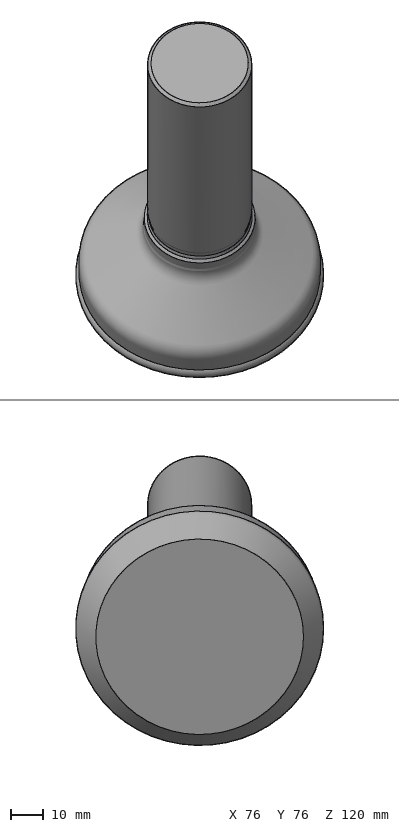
import cadquery as cq
import math

total_height = 120.0
shaft_bottom = 42.0
neck_top = 41.0
neck_bottom = 39.8
collar_bevel_top = 38.8
collar_top = 38.0
collar_bottom = 34.7
dome_top = 33.8
rim_bottom = 9.6
lip_z = 7.5
lip_bottom = 6.4

shaft_radius = 31.9 / 2
neck_radius = 31.3 / 2
collar_bevel_radius = 16.1
collar_radius = 34.0 / 2
dome_top_radius = 34.5 / 2
rim_radius = 74.0 / 2
lip_radius = 76.0 / 2
lip_bottom_radius = 37.6
pad_bottom_radius = 31.8

shaft_chamfer_width = 1.1
shaft_chamfer_height = 0.7
dome_blend_radius = 5.0
dome_slope = math.radians(34.2)


def blend_offset(angle):
    """Distance from a vertical wall, and along it, on a blend arc that has turned by the angle."""
    return dome_blend_radius * (1 - math.cos(angle)), dome_blend_radius * math.sin(angle)


def make_foot():
    """Shaft, grooved neck, collar and domed base, turned as one profile."""
    full_turn = math.pi / 2 - dome_slope
    full_out, full_along = blend_offset(full_turn)
    half_out, half_along = blend_offset(full_turn / 2)

    cone_top_radius = dome_top_radius + full_out
    cone_bottom_radius = rim_radius - full_out
    cone_top = dome_top - full_along
    cone_bottom = cone_top - (cone_bottom_radius - cone_top_radius) * math.tan(dome_slope)
    rim_top = cone_bottom - full_along

    profile = (
        cq.Workplane("XZ")
        .moveTo(0, total_height)
        .lineTo(shaft_radius - shaft_chamfer_width, total_height)
        .lineTo(shaft_radius, total_height - shaft_chamfer_height)
        .lineTo(shaft_radius, shaft_bottom)
        .lineTo(neck_radius, neck_top)
        .lineTo(neck_radius, neck_bottom)
        .lineTo(collar_bevel_radius, collar_bevel_top)
        .lineTo(collar_radius, collar_top)
        .lineTo(collar_radius, collar_bottom)
        .lineTo(dome_top_radius, dome_top)
        .threePointArc((dome_top_radius + half_out, dome_top - half_along), (cone_top_radius, cone_top))
        .lineTo(cone_bottom_radius, cone_bottom)
        .threePointArc((rim_radius - half_out, rim_top + half_along), (rim_radius, rim_top))
        .lineTo(rim_radius, rim_bottom)
        .lineTo(0, rim_bottom)
        .close()
    )
    return profile.revolve(360, (0, 0), (0, 1))


def make_pad():
    """Floor pad under the base: a rounded lip above an inward-tapering cone."""
    profile = (
        cq.Workplane("XZ")
        .moveTo(0, rim_bottom)
        .lineTo(rim_radius, rim_bottom)
        .threePointArc((lip_radius, lip_z), (lip_bottom_radius, lip_bottom))
        .lineTo(pad_bottom_radius, 0)
        .lineTo(0, 0)
        .close()
    )
    return profile.revolve(360, (0, 0), (0, 1))


foot = make_foot()
pad = make_pad()

result = cq.Compound.makeCompound([foot.val(), pad.val()])